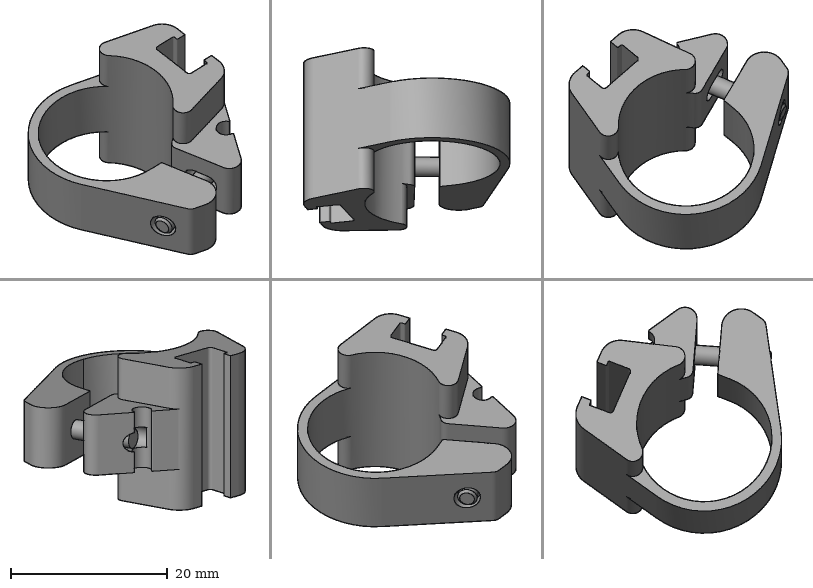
import cadquery as cq
import math

bore_radius = 8.6
ring_radius = 9.9
band_height = 8.05

rail_height = 19.0
rail_top = 15.8
rail_bottom = 5.65
rail_side_angle = 15
rail_top_radius = 2.62
rail_foot_radius = 1.3
slot_mouth_width = 5.07
slot_width = 6.48
slot_floor = 11.33
slot_lip = 14.48
slot_floor_radius = 0.42
slot_lip_radius = 0.15

gap_angle = 18
upper_face = 2.1
lower_face = -1.07
upper_back_angle = 60
upper_back = 15.95
lower_back_angle = -60
lower_end_angle = -15
lower_end = 17.42
upper_tip_radius = 1.55
upper_root_radius = 1.0
lower_tip_radius = 2.5
lower_corner_radius = 1.25
jaw_bore_shift = 0.15

screw_offset = 12.77
screw_diameter = 2.5
screw_end = -7.58
screw_chamfer = 0.3
counterbore_diameter = 3.3
counterbore_floor = -5.65
upper_slot_length = 4.68
upper_slot_width = 2.7
seat_diameter = 2.5
seat_position = 8.55
seat_lip_radius = 0.17


def unit(angle):
    return math.cos(math.radians(angle)), math.sin(math.radians(angle))


def crossing(angle_a, offset_a, angle_b, offset_b):
    """Point shared by two lines given by normal direction and offset from the origin."""
    ax, ay = unit(angle_a)
    bx, by = unit(angle_b)
    det = ax * by - ay * bx
    return (offset_a * by - offset_b * ay) / det, (ax * offset_b - bx * offset_a) / det


def clamp_point(along, across):
    """Point placed along the gap and across it (parallel to the screw)."""
    cos, sin = unit(gap_angle)
    return along * cos - across * sin, along * sin + across * cos


def prism(points, height):
    return cq.Workplane("XY").polyline(points).close().extrude(height / 2, both=True)


def cylinder(radius, height, center=(0, 0)):
    return cq.Workplane("XY").center(*center).circle(radius).extrude(height / 2, both=True)


def round_corner(body, point, radius):
    """Round the vertical edge nearest to a point of the outline."""
    edge = body.edges("|Z").edges(cq.selectors.NearestToPointSelector((*point, 0)))
    return edge.fillet(radius)


def screw_plane(across):
    """Plane square to the screw; its local Y runs along the gap."""
    return cq.Plane(
        origin=(*clamp_point(screw_offset, across), 0),
        xDir=(0, 0, 1),
        normal=(*clamp_point(0, 1), 0),
    )


def screw_cylinder(diameter, start, end):
    return cq.Workplane(screw_plane(start)).circle(diameter / 2).extrude(end - start)


gap_normal = 90 + gap_angle


def make_rail():
    top_corner = crossing(rail_side_angle, ring_radius, 90, rail_top)
    foot_center = crossing(
        rail_side_angle, ring_radius - rail_foot_radius, 90, rail_bottom + rail_foot_radius
    )
    nx, ny = unit(rail_side_angle)
    foot_tangent = (foot_center[0] + rail_foot_radius * nx, foot_center[1] + rail_foot_radius * ny)
    right = [foot_center, foot_tangent, top_corner]
    left = [(-x, y) for x, y in reversed(right)]
    rail = prism([(0, 0)] + right + left, rail_height)
    for side in (-1, 1):
        rail = round_corner(rail, (side * top_corner[0], top_corner[1]), rail_top_radius)
        foot = cylinder(rail_foot_radius, rail_height, (side * foot_center[0], foot_center[1]))
        rail = rail.union(foot)
    return rail


def make_slot():
    mouth = slot_mouth_width / 2
    half = slot_width / 2
    right = [(half, slot_floor), (half, slot_lip), (mouth, slot_lip), (mouth, rail_top)]
    left = [(-x, y) for x, y in reversed(right)]
    slot = prism(right + left, rail_height)
    for side in (-1, 1):
        slot = round_corner(slot, (side * half, slot_floor), slot_floor_radius)
        slot = round_corner(slot, (side * half, slot_lip), slot_lip_radius)
        slot = round_corner(slot, (side * mouth, slot_lip), slot_lip_radius)
    return slot


def make_left_web():
    """Straight wall that carries the ring tangentially into the rail side."""
    normal_angle = 180 - rail_side_angle
    nx, ny = unit(normal_angle)
    tangent = (ring_radius * nx, ring_radius * ny)
    upper = crossing(normal_angle, ring_radius, 90, rail_bottom + 2 * rail_foot_radius)
    return prism([(0, 0), tangent, upper, (0, upper[1])], band_height)


def make_upper_jaw():
    tip = crossing(upper_back_angle, upper_back, gap_normal, upper_face)
    turn = math.radians(upper_back_angle - rail_side_angle)
    start_offset = ring_radius - rail_top_radius * (1 - math.cos(turn))
    back_start = crossing(upper_back_angle, upper_back, rail_side_angle, start_offset)
    jaw = prism([clamp_point(0, upper_face), tip, back_start, (0, slot_floor)], band_height)
    jaw = round_corner(jaw, tip, upper_tip_radius)
    jaw = jaw.cut(cylinder(bore_radius, band_height))
    reach = math.sqrt(bore_radius**2 - upper_face**2)
    jaw = round_corner(jaw, clamp_point(reach, upper_face), upper_root_radius)

    seat_center = clamp_point(screw_offset, seat_position)
    jaw = jaw.cut(cylinder(seat_diameter / 2, band_height, seat_center))
    nx, ny = unit(upper_back_angle)
    lift = upper_back - seat_center[0] * nx - seat_center[1] * ny
    half_mouth = math.sqrt((seat_diameter / 2) ** 2 - lift**2)
    for side in (-1, 1):
        lip = (
            seat_center[0] + lift * nx + side * half_mouth * ny,
            seat_center[1] + lift * ny - side * half_mouth * nx,
        )
        jaw = round_corner(jaw, lip, seat_lip_radius)

    slot = cq.Workplane(screw_plane(upper_face)).slot2D(upper_slot_length, upper_slot_width, 90)
    return jaw.cut(slot.extrude(seat_position - upper_face))


def make_lower_jaw():
    tx, ty = unit(lower_back_angle)
    tangent = (ring_radius * tx, ring_radius * ty)
    corner = crossing(lower_back_angle, ring_radius, lower_end_angle, lower_end)
    tip = crossing(lower_end_angle, lower_end, gap_normal, lower_face)
    jaw = prism([clamp_point(0, lower_face), tangent, corner, tip], band_height)
    jaw = round_corner(jaw, corner, lower_corner_radius)
    jaw = round_corner(jaw, tip, lower_tip_radius)
    return jaw.cut(screw_cylinder(counterbore_diameter, -ring_radius, counterbore_floor))


def make_gap():
    """Opening of the ring, widened to leave room for the rounded root of the upper jaw."""
    top = upper_face + upper_root_radius
    reach = 2 * ring_radius
    return prism(
        [
            clamp_point(0, lower_face),
            clamp_point(reach, lower_face),
            clamp_point(reach, top),
            clamp_point(0, top),
        ],
        band_height,
    )


def make_jaw_bore():
    """Bore of the lower jaw: shifted outward and ending in a straight wall."""
    straight_end = 2 * bore_radius * math.sin(math.radians(gap_angle))
    right = jaw_bore_shift + bore_radius
    return (
        cq.Workplane("XY")
        .moveTo(jaw_bore_shift, -bore_radius)
        .radiusArc((right, 0), -bore_radius)
        .lineTo(right, straight_end)
        .lineTo(jaw_bore_shift, straight_end)
        .close()
        .extrude(band_height / 2, both=True)
    )


def make_screw():
    screw = screw_cylinder(screw_diameter, screw_end, seat_position - seat_diameter / 2)
    end = clamp_point(screw_offset, screw_end)
    return screw.faces(cq.selectors.NearestToPointSelector((*end, 0))).chamfer(screw_chamfer)


ring = cylinder(ring_radius, band_height).cut(make_gap())
frame = ring.union(make_left_web()).union(make_rail())
frame = frame.cut(cylinder(bore_radius, rail_height))
lower_jaw = make_lower_jaw().cut(cylinder(bore_radius, band_height))
frame = frame.union(lower_jaw).cut(make_jaw_bore())
result = frame.union(make_upper_jaw()).cut(make_slot()).union(make_screw())